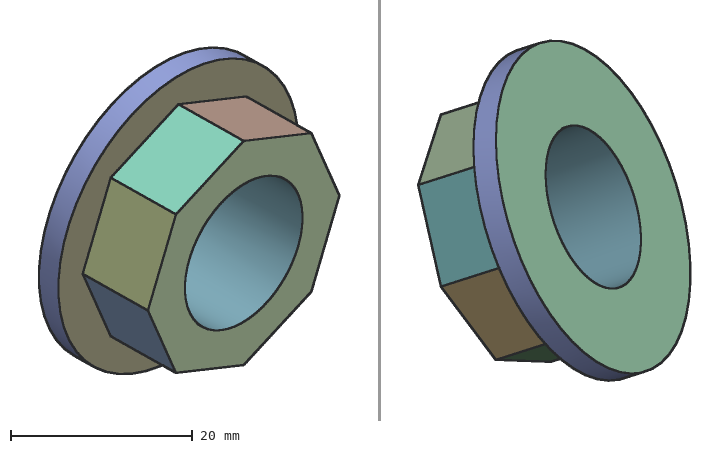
import cadquery as cq
import math

flange_diameter = 38.0
flange_thickness = 3.0
total_length = 13.0
bore_diameter = 18.62
octagon_sides = 8
octagon_across_flats = 28.0

octagon_length = total_length - flange_thickness
octagon_across_corners = octagon_across_flats / math.cos(math.pi / octagon_sides)

flange = cq.Workplane("YZ").circle(flange_diameter / 2).extrude(flange_thickness)

body = (
    cq.Workplane("YZ")
    .workplane(offset=flange_thickness)
    .polygon(octagon_sides, octagon_across_corners)
    .extrude(octagon_length)
)

bore = cq.Workplane("YZ").circle(bore_diameter / 2).extrude(total_length)

result = flange.union(body).cut(bore)